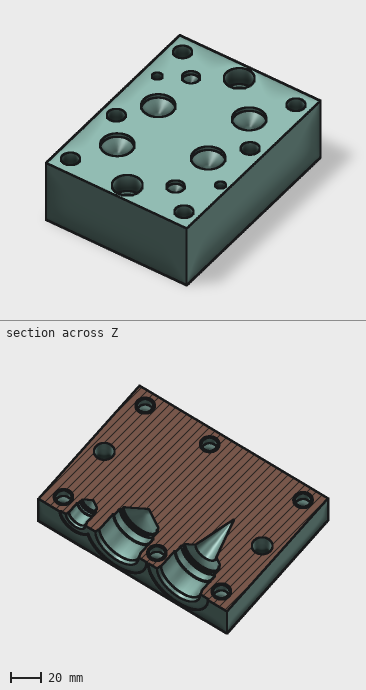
import cadquery as cq
import math


BLOCK_X = 114.3
BLOCK_Y = 155.57
BLOCK_Z = 50.8
TOP_Z = BLOCK_Z / 2
LEFT_X = -BLOCK_X / 2

DRILL_POINT_ANGLE = 118.0

BOLT_COLUMN_X = 46.04
BOLT_END_Y = 65.09
BOLT_MIDDLE_Y = 11.91
BOLT_POINTS = [
    (-BOLT_COLUMN_X, BOLT_END_Y),
    (-BOLT_COLUMN_X, -BOLT_MIDDLE_Y),
    (-BOLT_COLUMN_X, -BOLT_END_Y),
    (BOLT_COLUMN_X, BOLT_END_Y),
    (BOLT_COLUMN_X, BOLT_MIDDLE_Y),
    (BOLT_COLUMN_X, -BOLT_END_Y),
]
BOLT_THREAD_DIAMETER = 12.7
BOLT_THREAD_DEPTH = 25.4
BOLT_DRILL_DIAMETER = 10.72
BOLT_DRILL_DEPTH = 31.75

VALVE_PORT_DIAMETER = 23.01
VALVE_PORT_DEPTH = 3.175
VALVE_PORT_X = 28.57
VALVE_PORT_OUTER_Y = 35.72
VALVE_PORT_POINTS = [
    (-VALVE_PORT_X, BOLT_MIDDLE_Y),
    (-VALVE_PORT_X, -VALVE_PORT_OUTER_Y),
    (VALVE_PORT_X, VALVE_PORT_OUTER_Y),
    (VALVE_PORT_X, -BOLT_MIDDLE_Y),
]

PILOT_PORT_DIAMETER = 12.29
PILOT_PORT_DEPTH = VALVE_PORT_DEPTH
PILOT_PORT_X = 26.99
PILOT_PORT_Y = 47.62
PILOT_PORT_POINTS = [(-PILOT_PORT_X, PILOT_PORT_Y), (PILOT_PORT_X, -PILOT_PORT_Y)]

PIN_DIAMETER = 7.14
PIN_DEPTH = 9.5
OFFSET_PIN_X = 50.8
OFFSET_PIN_Y = -29.37
PIN_POINTS = [(-BOLT_COLUMN_X, VALVE_PORT_OUTER_Y), (OFFSET_PIN_X, OFFSET_PIN_Y)]

MOUNT_DIAMETER = 13.49
MOUNT_HEAD_DIAMETER = 20.62
MOUNT_HEAD_DEPTH = 14.3
MOUNT_POINTS = [(0, BOLT_END_Y), (0, -BOLT_END_Y)]

SPOTFACE_DEPTH = 0.76
SEAT_ANGLE = 15.0
PORT_A_Y = 13.49
MAIN_PORT_PITCH = 50.8
PORT_B_Y = PORT_A_Y - MAIN_PORT_PITCH
PORT_X_Y = PILOT_PORT_Y

MAIN_SPOTFACE_DIAMETER = 49.2
MAIN_SEAT_DIAMETER = 33.76
MAIN_SEAT_DEPTH = 4.06
MAIN_THREAD_DIAMETER = 33.34
MAIN_THREAD_DEPTH = 19.3
MAIN_TAP_DRILL_DIAMETER = 31.27
MAIN_TAP_DRILL_DEPTH = 25.4
MAIN_DRILL_DIAMETER = 28.57
MAIN_DRILL_DEPTH = 28.0

PILOT_SPOTFACE_DIAMETER = 25.0
PILOT_SEAT_DIAMETER = 14.53
PILOT_SEAT_DEPTH = 3.3
PILOT_THREAD_DIAMETER = 14.28
PILOT_THREAD_DEPTH = 12.7
PILOT_TAP_DRILL_DIAMETER = 12.9
PILOT_TAP_DRILL_DEPTH = 15.0
PILOT_DRILL_DIAMETER = 11.89
PILOT_DRILL_DEPTH = 17.0

PORT_B_TAPER_DIAMETER = 17.07
PORT_B_TAPER_ANGLE = 30.0


def point_length(diameter):
    """Height of a drill point of the given diameter."""
    return diameter / 2 / math.tan(math.radians(DRILL_POINT_ANGLE / 2))


def bore(profile):
    """Solid of revolution about Z, cut downwards from z = 0, from its (radius, depth) outline."""
    outline = [(radius, -depth) for radius, depth in profile]
    return cq.Workplane("XZ").polyline(outline).close().revolve(360, (0, 0, 0), (0, 1, 0))


def drilled_hole(diameter, depth):
    """Blind hole with a drill point below its full-diameter depth."""
    radius = diameter / 2
    tip_depth = depth + point_length(diameter)
    return bore([(0, 0), (radius, 0), (radius, depth), (0, tip_depth)])


def tapped_hole():
    """Thread bore that steps down to its tap drill."""
    thread = bore(
        [
            (0, 0),
            (BOLT_THREAD_DIAMETER / 2, 0),
            (BOLT_THREAD_DIAMETER / 2, BOLT_THREAD_DEPTH),
            (0, BOLT_THREAD_DEPTH),
        ]
    )
    return thread.union(drilled_hole(BOLT_DRILL_DIAMETER, BOLT_DRILL_DEPTH))


def mounting_hole():
    """Through hole with a counterbore for the screw head."""
    return bore(
        [
            (0, 0),
            (MOUNT_HEAD_DIAMETER / 2, 0),
            (MOUNT_HEAD_DIAMETER / 2, MOUNT_HEAD_DEPTH),
            (MOUNT_DIAMETER / 2, MOUNT_HEAD_DEPTH),
            (MOUNT_DIAMETER / 2, BLOCK_Z),
            (0, BLOCK_Z),
        ]
    )


def side_port(spotface, seat, thread, tap_drill, passage):
    """Port with a spotface, a conical seal seat, a thread bore, its tap drill and a drilled passage.

    All but the spotface diameter are pairs of diameter and depth below the block face.
    The seat size is taken at its inner end.
    """
    seat_diameter, seat_depth = seat
    thread_diameter, thread_depth = thread
    tap_diameter, tap_depth = tap_drill
    passage_diameter, passage_depth = passage
    seat_rim_radius = seat_diameter / 2 + (seat_depth - SPOTFACE_DEPTH) * math.tan(math.radians(SEAT_ANGLE))
    passage_mouth_depth = tap_depth + point_length(tap_diameter) - point_length(passage_diameter)
    return bore(
        [
            (0, 0),
            (spotface / 2, 0),
            (spotface / 2, SPOTFACE_DEPTH),
            (seat_rim_radius, SPOTFACE_DEPTH),
            (seat_diameter / 2, seat_depth),
            (thread_diameter / 2, seat_depth),
            (thread_diameter / 2, thread_depth),
            (tap_diameter / 2, thread_depth),
            (tap_diameter / 2, tap_depth),
            (passage_diameter / 2, passage_mouth_depth),
            (passage_diameter / 2, passage_depth),
            (0, passage_depth + point_length(passage_diameter)),
        ]
    )


def main_side_port():
    return side_port(
        MAIN_SPOTFACE_DIAMETER,
        (MAIN_SEAT_DIAMETER, MAIN_SEAT_DEPTH),
        (MAIN_THREAD_DIAMETER, MAIN_THREAD_DEPTH),
        (MAIN_TAP_DRILL_DIAMETER, MAIN_TAP_DRILL_DEPTH),
        (MAIN_DRILL_DIAMETER, MAIN_DRILL_DEPTH),
    )


def port_b_taper():
    """Tapered core of port B, widest where it meets the cone of the drill point."""
    radius = PORT_B_TAPER_DIAMETER / 2
    drill_tip_depth = MAIN_DRILL_DEPTH + point_length(MAIN_DRILL_DIAMETER)
    mouth_depth = drill_tip_depth - point_length(PORT_B_TAPER_DIAMETER)
    taper_tip_depth = mouth_depth + radius / math.tan(math.radians(PORT_B_TAPER_ANGLE / 2))
    return bore([(0, 0), (radius, 0), (radius, mouth_depth), (0, taper_tip_depth)])


def pilot_side_port():
    return side_port(
        PILOT_SPOTFACE_DIAMETER,
        (PILOT_SEAT_DIAMETER, PILOT_SEAT_DEPTH),
        (PILOT_THREAD_DIAMETER, PILOT_THREAD_DEPTH),
        (PILOT_TAP_DRILL_DIAMETER, PILOT_TAP_DRILL_DEPTH),
        (PILOT_DRILL_DIAMETER, PILOT_DRILL_DEPTH),
    )


def cut_from_top(body, tool, points):
    for x, y in points:
        body = body.cut(tool.translate((x, y, TOP_Z)))
    return body


def cut_from_left(body, tool, y):
    """Cut a tool into the -X face at mid height."""
    turned = tool.rotate((0, 0, 0), (0, 1, 0), -90)
    return body.cut(turned.translate((LEFT_X, y, 0)))


block = cq.Workplane("XY").box(BLOCK_X, BLOCK_Y, BLOCK_Z)

block = cut_from_top(block, tapped_hole(), BOLT_POINTS)
block = cut_from_top(block, drilled_hole(VALVE_PORT_DIAMETER, VALVE_PORT_DEPTH), VALVE_PORT_POINTS)
block = cut_from_top(block, drilled_hole(PILOT_PORT_DIAMETER, PILOT_PORT_DEPTH), PILOT_PORT_POINTS)
block = cut_from_top(block, drilled_hole(PIN_DIAMETER, PIN_DEPTH), PIN_POINTS)
block = cut_from_top(block, mounting_hole(), MOUNT_POINTS)

block = cut_from_left(block, main_side_port(), PORT_A_Y)
block = cut_from_left(block, main_side_port().union(port_b_taper()), PORT_B_Y)
block = cut_from_left(block, pilot_side_port(), PORT_X_Y)

result = block